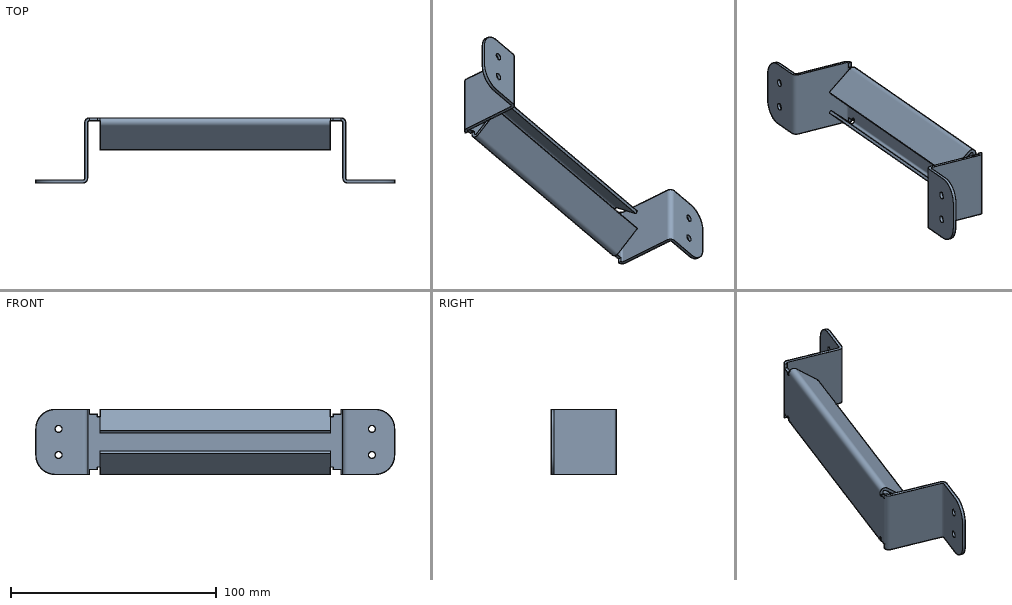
import cadquery as cq
import math

LENGTH = 174.6
DEPTH = 31.75
HEIGHT = 31.75

SHEET = 1.5
INNER_BEND = 0.9
OUTER_BEND = INNER_BEND + SHEET

WALL_SPAN = 127.0
FOOT_CORNER_RADIUS = 9.525
HOLE_DIAMETER = 3.26
HOLE_SPACING_X = 152.4
HOLE_SPACING_Z = 12.7

FLANGE_LENGTH = 112.0
FLANGE_WIDTH = 15.2
FLANGE_LEAN = math.radians(40)

RELIEF_WIDTH = 1.3
RELIEF_DEPTH = 1.2

BACK_Y = DEPTH / 2
FRONT_Y = -DEPTH / 2
TOP_Z = HEIGHT / 2
WALL_X = WALL_SPAN / 2
BEND_LINE_Z = TOP_Z - OUTER_BEND
WEB_END_X = WALL_X - OUTER_BEND
FOOT_START_X = WALL_X - SHEET + OUTER_BEND
FOOT_END_X = LENGTH / 2


def sheet_bend(plane, center, start_angle, sweep_angle, length):
    """Bent strip of sheet: a ring sector about center, extruded symmetrically."""
    angles = [start_angle, start_angle + sweep_angle / 2, start_angle + sweep_angle]

    def ring_points(radius):
        return [
            (center[0] + radius * math.cos(a), center[1] + radius * math.sin(a))
            for a in angles
        ]

    outer = ring_points(OUTER_BEND)
    inner = ring_points(INNER_BEND)
    return (
        cq.Workplane(plane)
        .moveTo(*outer[0])
        .threePointArc(outer[1], outer[2])
        .lineTo(*inner[2])
        .threePointArc(inner[1], inner[0])
        .close()
        .extrude(length / 2, both=True)
    )


def block(x_range, y_range, z_range):
    """Box given by its limits along each axis."""
    limits = (x_range, y_range, z_range)
    sizes = [high - low for low, high in limits]
    corner = [low for low, high in limits]
    return cq.Workplane("XY").box(*sizes, centered=False).translate(tuple(corner))


def make_web():
    """Flat back strip with a relief slot at each end of both flange bends."""
    web = block(
        (-WEB_END_X, WEB_END_X),
        (BACK_Y - SHEET, BACK_Y),
        (-BEND_LINE_Z, BEND_LINE_Z),
    )
    slot_x = (FLANGE_LENGTH + RELIEF_WIDTH) / 2
    slots = (
        cq.Workplane("XZ")
        .pushPoints([(sx * slot_x, sz * BEND_LINE_Z) for sx in (-1, 1) for sz in (-1, 1)])
        .rect(RELIEF_WIDTH, 2 * RELIEF_DEPTH)
        .extrude(DEPTH, both=True)
    )
    return web.cut(slots)


def make_upper_flange():
    """Bend along the upper web edge and the flat flange leaning in beyond it."""
    center = (BACK_Y - OUTER_BEND, BEND_LINE_Z)
    sweep = math.pi / 2 + FLANGE_LEAN
    bend = sheet_bend("YZ", center, 0, sweep, FLANGE_LENGTH)

    outward = (math.cos(sweep), math.sin(sweep))
    along = (-outward[1], outward[0])

    def flange_point(radius, distance):
        return (
            center[0] + radius * outward[0] + distance * along[0],
            center[1] + radius * outward[1] + distance * along[1],
        )

    flat = (
        cq.Workplane("YZ")
        .polyline([
            flange_point(OUTER_BEND, 0),
            flange_point(OUTER_BEND, FLANGE_WIDTH),
            flange_point(INNER_BEND, FLANGE_WIDTH),
            flange_point(INNER_BEND, 0),
        ])
        .close()
        .extrude(FLANGE_LENGTH / 2, both=True)
    )
    return bend.union(flat)


def make_foot():
    """Flat foot at the +X end with two rounded corners and two screw holes."""
    foot = block(
        (FOOT_START_X, FOOT_END_X),
        (FRONT_Y, FRONT_Y + SHEET),
        (-TOP_Z, TOP_Z),
    )
    foot = foot.edges("|Y and >X").fillet(FOOT_CORNER_RADIUS)
    holes = (
        cq.Workplane("XZ")
        .pushPoints([(HOLE_SPACING_X / 2, s * HOLE_SPACING_Z / 2) for s in (-1, 1)])
        .circle(HOLE_DIAMETER / 2)
        .extrude(DEPTH, both=True)
    )
    return foot.cut(holes)


def make_right_end():
    """Side wall at the +X end with its two bends and the foot."""
    wall = block(
        (WALL_X - SHEET, WALL_X),
        (FRONT_Y + OUTER_BEND, BACK_Y - OUTER_BEND),
        (-TOP_Z, TOP_Z),
    )
    back_bend = sheet_bend("XY", (WEB_END_X, BACK_Y - OUTER_BEND), 0, math.pi / 2, HEIGHT)
    foot_bend = sheet_bend("XY", (FOOT_START_X, FRONT_Y + OUTER_BEND), math.pi, math.pi / 2, HEIGHT)
    return wall.union(back_bend).union(foot_bend).union(make_foot())


right_end = make_right_end()
upper_flange = make_upper_flange()

result = (
    make_web()
    .union(upper_flange)
    .union(upper_flange.mirror("XY"))
    .union(right_end)
    .union(right_end.mirror("YZ"))
)